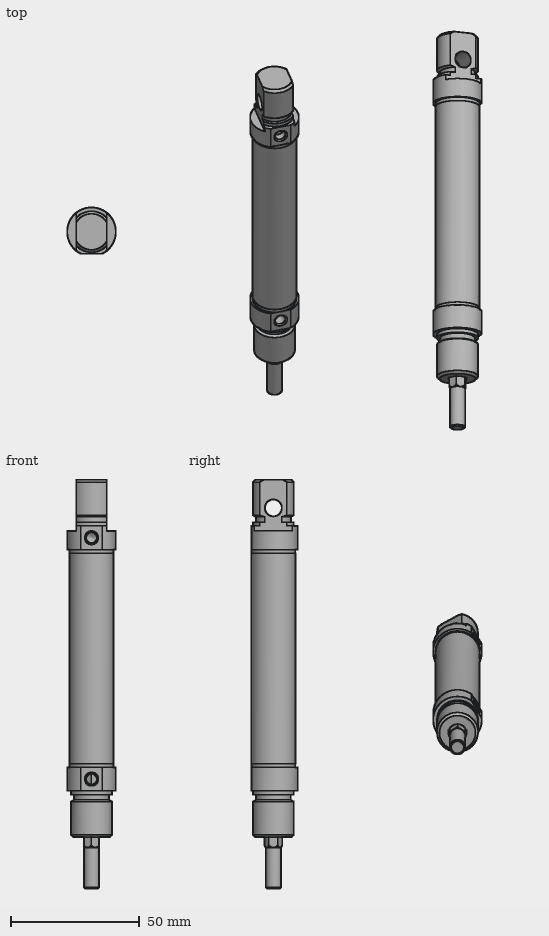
import cadquery as cq
import math


total_length = 159.0
cap_diameter = 19.0
barrel_diameter = 17.27
collar_diameter = 17.2
boss_diameter = 16.0
boss_groove_diameter = 13.7
boss_end_chamfer = 1.0
groove_edge_angle = 30.0

rod_diameter = 6.0
rod_thread_length = 16.0
rod_tip_chamfer = 0.55
hex_across_flats = rod_diameter
hex_across_corners = hex_across_flats / math.cos(math.pi / 6)
hex_bevel_angle = 60.0
rod_bore_diameter = 7.1

cap_disc_length = 9.2
collar_length = 1.4
boss_length = 18.0
boss_shoulder_length = 1.5
boss_groove_length = 2.0

front_face_z = 20.0
front_disc_z = front_face_z + boss_length
barrel_start_z = front_disc_z + cap_disc_length + collar_length
rear_disc_end_z = total_length - boss_length
rear_disc_z = rear_disc_end_z - cap_disc_length
barrel_end_z = rear_disc_z - collar_length

port_flat_distance = 8.55
port_entry_diameter = 5.3
port_diameter = 4.13
rear_port_depth = 3.5
front_port_depth = port_flat_distance
drill_point_angle = 118.0

tongue_width = 12.0
tongue_relief_depth = 1.9
tongue_floor_z = rear_disc_end_z - tongue_relief_depth
pivot_hole_diameter = 6.5
pivot_hole_z = total_length - 11.0


def cylinder(diameter, start_z, length):
    return cq.Workplane("XY").workplane(offset=start_z).circle(diameter / 2).extrude(length)


def cap_disc(start_z):
    """Disc of an end cap with the flat that carries the air port."""
    disc = cylinder(cap_diameter, start_z, cap_disc_length)
    beyond_flat = cq.Workplane("XY").box(
        cap_diameter, cap_diameter, cap_disc_length, centered=(True, False, False)
    ).translate((0, -port_flat_distance - cap_diameter, start_z))
    return disc.cut(beyond_flat)


def mounting_boss():
    """Boss standing on Z = 0, with a shoulder, a relief groove and a chamfered free end."""
    shoulder_radius = boss_diameter / 2
    groove_radius = boss_groove_diameter / 2
    bevel_length = (shoulder_radius - groove_radius) * math.tan(math.radians(groove_edge_angle))
    groove_end = boss_shoulder_length + boss_groove_length
    return (
        cq.Workplane("XZ")
        .moveTo(0, 0)
        .lineTo(shoulder_radius, 0)
        .lineTo(shoulder_radius, boss_shoulder_length)
        .lineTo(groove_radius, boss_shoulder_length)
        .lineTo(groove_radius, groove_end)
        .lineTo(shoulder_radius, groove_end + bevel_length)
        .lineTo(shoulder_radius, boss_length - boss_end_chamfer)
        .lineTo(shoulder_radius - boss_end_chamfer, boss_length)
        .lineTo(0, boss_length)
        .close()
        .revolve(360, (0, 0, 0), (0, 1, 0))
    )


def air_port(disc_z, depth):
    """Cutter for a countersunk port hole with a drill point, entering the flat of a cap."""
    entry_radius = port_entry_diameter / 2
    hole_radius = port_diameter / 2
    point_length = hole_radius / math.tan(math.radians(drill_point_angle / 2))
    cutter = (
        cq.Workplane("XY")
        .moveTo(0, -port_flat_distance)
        .lineTo(entry_radius, -port_flat_distance)
        .lineTo(hole_radius, -port_flat_distance + entry_radius - hole_radius)
        .lineTo(hole_radius, -port_flat_distance + depth)
        .lineTo(0, -port_flat_distance + depth + point_length)
        .close()
        .revolve(360, (0, 0, 0), (0, 1, 0))
    )
    return cutter.translate((0, 0, disc_z + cap_disc_length / 2))


def make_front_cap():
    boss = mounting_boss().rotate((0, 0, 0), (1, 0, 0), 180)
    cap = (
        cap_disc(front_disc_z)
        .union(boss.translate((0, 0, front_disc_z)))
        .union(cylinder(collar_diameter, front_disc_z + cap_disc_length, collar_length))
    )
    rod_bore = cylinder(rod_bore_diameter, front_face_z, barrel_start_z - front_face_z)
    return cap.cut(rod_bore).cut(air_port(front_disc_z, front_port_depth))


def make_rear_cap():
    cap = (
        cap_disc(rear_disc_z)
        .union(mounting_boss().translate((0, 0, rear_disc_end_z)))
        .union(cylinder(collar_diameter, barrel_end_z, collar_length))
    )
    for side in (-1, 1):
        tongue_relief = cq.Workplane("XY").box(
            cap_diameter, cap_diameter, total_length - tongue_floor_z, centered=(True, True, False)
        ).translate((side * (tongue_width + cap_diameter) / 2, 0, tongue_floor_z))
        cap = cap.cut(tongue_relief)
    pivot_hole = (
        cq.Workplane("YZ")
        .center(0, pivot_hole_z)
        .circle(pivot_hole_diameter / 2)
        .extrude(tongue_width, both=True)
    )
    return cap.cut(pivot_hole).cut(air_port(rear_disc_z, rear_port_depth))


def make_barrel():
    return cylinder(barrel_diameter, barrel_start_z, barrel_end_z - barrel_start_z)


def make_rod():
    """Hexagonal rod, chamfered down to the round threaded end, stopping at the barrel."""
    hex_length = barrel_start_z - rod_thread_length
    hexagon = (
        cq.Workplane("XY")
        .workplane(offset=rod_thread_length)
        .transformed(rotate=(0, 0, 90))
        .polygon(6, hex_across_corners)
        .extrude(hex_length)
    )
    corner_height = (hex_across_corners - rod_diameter) / 2
    bevel_length = corner_height * math.tan(math.radians(hex_bevel_angle))
    bevel_envelope = (
        cq.Workplane("XZ")
        .moveTo(0, rod_thread_length)
        .lineTo(rod_diameter / 2, rod_thread_length)
        .lineTo(hex_across_corners / 2, rod_thread_length + bevel_length)
        .lineTo(hex_across_corners / 2, barrel_start_z)
        .lineTo(0, barrel_start_z)
        .close()
        .revolve(360, (0, 0, 0), (0, 1, 0))
    )
    threaded_end = cylinder(rod_diameter, 0, rod_thread_length).faces("<Z").chamfer(rod_tip_chamfer)
    return hexagon.intersect(bevel_envelope).union(threaded_end)


barrel = make_barrel()
front_cap = make_front_cap()
rear_cap = make_rear_cap()
rod = make_rod()

result = cq.Compound.makeCompound([barrel.val(), front_cap.val(), rear_cap.val(), rod.val()])